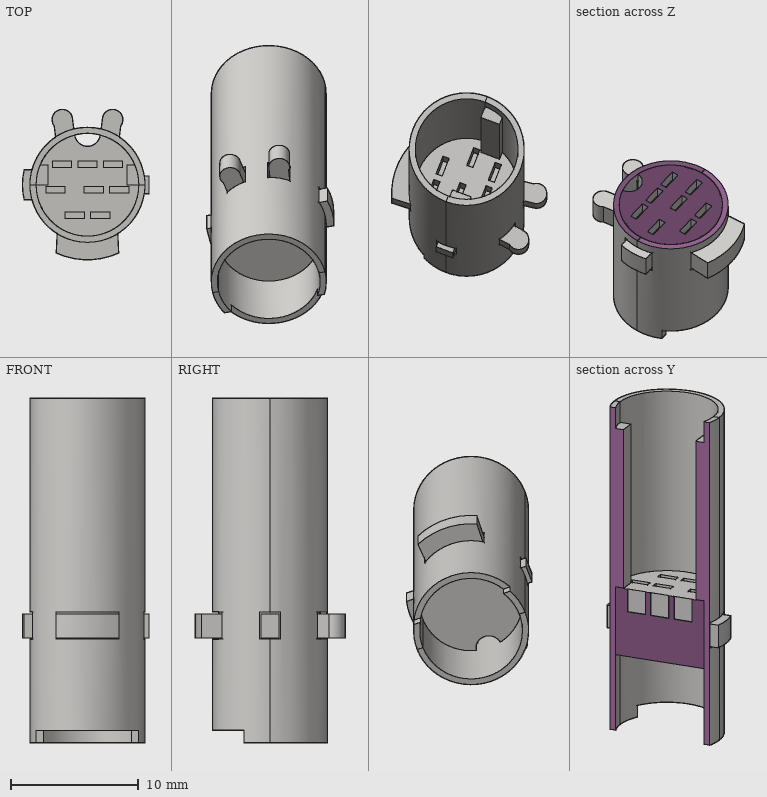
import cadquery as cq
import math

TUBE_LENGTH = 27.0
TUBE_RADIUS = 4.5
WALL = 0.49
BORE_RADIUS = TUBE_RADIUS - WALL
FOOT_NOTCH_HEIGHT = 0.97
FOOT_NOTCH_DEPTH = 2.05

KEY_TOP = 25.27
KEY_INNER_X = 3.1
KEY_WIDTH = 1.57

TAB_BOTTOM = 8.2
TAB_HEIGHT = 1.9
TAB_TOP = TAB_BOTTOM + TAB_HEIGHT
INSERT_BOTTOM = TAB_BOTTOM - TAB_HEIGHT
INSERT_TOP = TAB_TOP + TAB_HEIGHT
INSERT_HEIGHT = INSERT_TOP - INSERT_BOTTOM
INSERT_NOTCH_RADIUS = 1.0

PITCH = 2.0
SLOT_LENGTH = 1.5
SLOT_WIDTH = 0.5
SLOT_DEPTH = 1.9
BACK_ROW_Y = 1.6
SLOT_ROWS = (
    (-PITCH, 0.0, PITCH),
    (-1.25 * PITCH, 0.25 * PITCH, 1.25 * PITCH),
    (-PITCH / 2, PITCH / 2),
)

FRONT_TAB_RADIUS = 5.89
FRONT_TAB_TIP_HALF_WIDTH = 2.45
FRONT_TAB_ROOT_HALF_WIDTH = 2.3
LEFT_TAB_RADIUS = 5.1
LEFT_TAB_WIDTH = 2.38
RIGHT_TAB_REACH = 4.83
RIGHT_TAB_WIDTH = 1.4
LUG_RADIUS = 0.8
LUG_X = 1.97
LUG_Y = 5.1
LUG_STEM_OUTER_OFFSET = 0.7
LUG_STEM_LENGTH = 2.43
LUG_STEM_TILT = 7.3
TAB_ROOT = BORE_RADIUS / 2

WINDOW_BOTTOM = 8.13
WINDOW_TOP = 10.25
SIDE_CLEARANCE = 0.14
FRONT_WINDOW_WIDTH = 4.97
LUG_WINDOW_OUTER_X = 2.55
BACK_RIB_WIDTH = 1.78


def box(x_min, x_max, y_min, y_max, z_min, z_max):
    size = (x_max - x_min, y_max - y_min, z_max - z_min)
    return cq.Workplane("XY").box(*size, centered=False).translate((x_min, y_min, z_min))


def tab_plane():
    return cq.Workplane("XY", origin=(0, 0, TAB_BOTTOM))


def window(x_min, x_max, y_min, y_max):
    return box(x_min, x_max, y_min, y_max, WINDOW_BOTTOM, WINDOW_TOP)


def windows():
    half_front = FRONT_WINDOW_WIDTH / 2
    half_left = LEFT_TAB_WIDTH / 2 + SIDE_CLEARANCE
    half_right = RIGHT_TAB_WIDTH / 2 + SIDE_CLEARANCE
    front = window(-half_front, half_front, -TUBE_RADIUS, 0)
    left = window(-TUBE_RADIUS, 0, -half_left, half_left)
    right = window(0, TUBE_RADIUS, -half_right, half_right)
    back_left = window(-LUG_WINDOW_OUTER_X, -BACK_RIB_WIDTH / 2, 0, TUBE_RADIUS)
    back_right = back_left.mirror("YZ")
    return front.union(left).union(right).union(back_left).union(back_right)


def half_tube(y_min, y_max):
    """Half of the tube between two Y limits, with its share of the windows."""
    tube = cq.Workplane("XY").circle(TUBE_RADIUS).circle(BORE_RADIUS).extrude(TUBE_LENGTH)
    half_space = box(-TUBE_RADIUS, TUBE_RADIUS, y_min, y_max, 0, TUBE_LENGTH)
    return tube.cut(windows()).intersect(half_space)


def make_front_shell():
    notch = box(-TUBE_RADIUS, TUBE_RADIUS, -TUBE_RADIUS, -FOOT_NOTCH_DEPTH, 0, FOOT_NOTCH_HEIGHT)
    return half_tube(-TUBE_RADIUS, 0).cut(notch)


def make_back_shell():
    mid_wall = TUBE_RADIUS - WALL / 2
    within_wall = cq.Workplane("XY").circle(mid_wall).extrude(TUBE_LENGTH)
    right_bar = box(KEY_INNER_X, mid_wall, 0, KEY_WIDTH, INSERT_TOP, KEY_TOP)
    right_key = right_bar.intersect(within_wall)
    left_key = right_key.mirror("YZ")
    return half_tube(0, TUBE_RADIUS).union(right_key).union(left_key)


def front_tab():
    tip_y = -math.sqrt(FRONT_TAB_RADIUS**2 - FRONT_TAB_TIP_HALF_WIDTH**2)
    return (
        tab_plane()
        .moveTo(-FRONT_TAB_ROOT_HALF_WIDTH, -TAB_ROOT)
        .lineTo(-FRONT_TAB_TIP_HALF_WIDTH, tip_y)
        .threePointArc((0, -FRONT_TAB_RADIUS), (FRONT_TAB_TIP_HALF_WIDTH, tip_y))
        .lineTo(FRONT_TAB_ROOT_HALF_WIDTH, -TAB_ROOT)
        .close()
        .extrude(TAB_HEIGHT)
    )


def left_tab():
    half = LEFT_TAB_WIDTH / 2
    bar = box(-LEFT_TAB_RADIUS, -TAB_ROOT, -half, half, TAB_BOTTOM, TAB_TOP)
    return bar.intersect(tab_plane().circle(LEFT_TAB_RADIUS).extrude(TAB_HEIGHT))


def right_tab():
    half = RIGHT_TAB_WIDTH / 2
    return box(TAB_ROOT, RIGHT_TAB_REACH, -half, half, TAB_BOTTOM, TAB_TOP)


def lug():
    """Round-headed lug on a tilted stem, on the back left of the insert."""
    head = tab_plane().circle(LUG_RADIUS).extrude(TAB_HEIGHT)
    stem = box(-LUG_STEM_OUTER_OFFSET, LUG_RADIUS, -LUG_STEM_LENGTH, 0, TAB_BOTTOM, TAB_TOP)
    upright = head.union(stem)
    return upright.rotate((0, 0, 0), (0, 0, 1), LUG_STEM_TILT).translate((-LUG_X, LUG_Y, 0))


def contact_slots():
    centres = [
        (x, BACK_ROW_Y - row * PITCH) for row, xs in enumerate(SLOT_ROWS) for x in xs
    ]
    return (
        cq.Workplane("XY", origin=(0, 0, INSERT_TOP))
        .pushPoints(centres)
        .rect(SLOT_LENGTH, SLOT_WIDTH)
        .extrude(-SLOT_DEPTH)
    )


def make_insert():
    base = cq.Workplane("XY", origin=(0, 0, INSERT_BOTTOM))
    body = base.circle(BORE_RADIUS).extrude(INSERT_HEIGHT)
    back_lug = lug()
    for tab in (front_tab(), left_tab(), right_tab(), back_lug, back_lug.mirror("YZ")):
        body = body.union(tab)
    notch = base.center(0, BORE_RADIUS).circle(INSERT_NOTCH_RADIUS).extrude(INSERT_HEIGHT)
    return body.cut(notch).cut(contact_slots())


front_shell = make_front_shell()
back_shell = make_back_shell()
insert = make_insert()

result = cq.Compound.makeCompound(
    [front_shell.solids().val(), back_shell.solids().val(), insert.solids().val()]
)